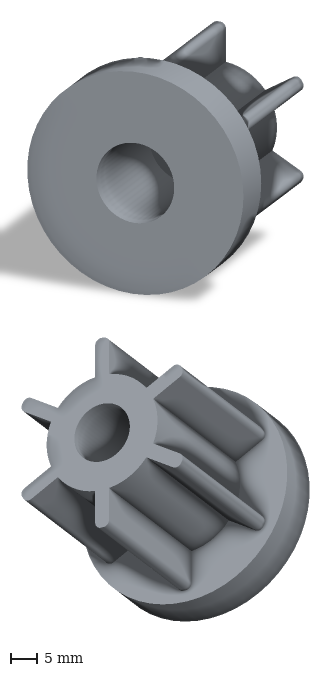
import cadquery as cq

flange_diameter = 44.5
flange_thickness = 9.0
total_length = 42.0

core_diameter = 24.05
fin_count = 6
fin_tip_radius = 19.85
fin_width = 3.0
fin_edge_radius = 1.25

bore_diameter = 12.0
counterbore_diameter = 16.0
counterbore_depth = 26.7

front_y = -total_length / 2
body_length = total_length - flange_thickness


def cylinder_along_y(diameter, start_y, length):
    """Cylinder on the part axis, growing from start_y toward +Y."""
    plane = cq.Workplane("XZ", origin=(0, start_y, 0))
    return plane.circle(diameter / 2).extrude(-length)


def upright_fin():
    """Fin from the axis up to its tip, with both outer edges rounded."""
    plane = cq.Workplane("XZ", origin=(0, front_y + flange_thickness, 0))
    blank = plane.center(0, fin_tip_radius / 2).rect(fin_width, fin_tip_radius).extrude(-body_length)
    return blank.faces(">Z").edges("|Y").fillet(fin_edge_radius)


flange = cylinder_along_y(flange_diameter, front_y, flange_thickness)
core = cylinder_along_y(core_diameter, front_y, total_length)
body = flange.union(core)

fin = upright_fin()
for index in range(fin_count):
    angle = index * 360 / fin_count
    body = body.union(fin.rotate((0, 0, 0), (0, 1, 0), angle))

bore = cylinder_along_y(bore_diameter, front_y, total_length)
counterbore = cylinder_along_y(counterbore_diameter, front_y, counterbore_depth)
result = body.cut(bore).cut(counterbore)